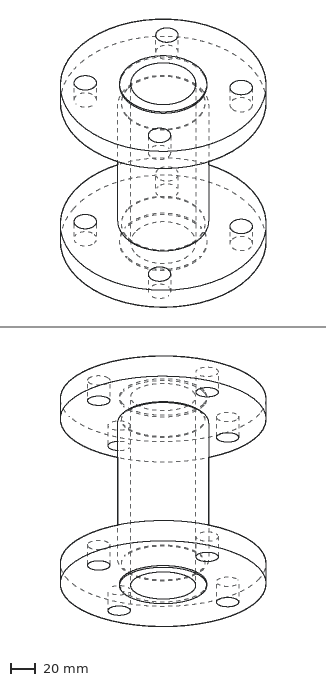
import cadquery as cq

total_length = 166.0
flange_diameter = 165.0
flange_thickness = 18.0
raised_face_diameter = 70.0
raised_face_height = 1.5

body_diameter = 73.0
body_rounding = 3.0
neck_diameter = body_diameter - 2 * body_rounding
neck_length = 0.8
bore_diameter = 52.1

bolt_circle_diameter = 125.0
bolt_hole_diameter = 18.0
bolt_hole_count = 4
first_bolt_angle = 45.0

flange_outer_z = total_length / 2 - raised_face_height
flange_inner_z = flange_outer_z - flange_thickness
body_end_z = flange_inner_z - neck_length


def disc(diameter, bottom, height):
    return cq.Workplane("XY").workplane(offset=bottom).circle(diameter / 2).extrude(height)


def make_flange():
    """Upper flange with its raised sealing face and bolt holes."""
    plate = disc(flange_diameter, flange_inner_z, flange_thickness)
    holes = (
        cq.Workplane("XY")
        .workplane(offset=flange_inner_z)
        .polarArray(bolt_circle_diameter / 2, first_bolt_angle, 360, bolt_hole_count)
        .circle(bolt_hole_diameter / 2)
        .extrude(flange_thickness)
    )
    raised_face = disc(raised_face_diameter, flange_outer_z, raised_face_height)
    return plate.cut(holes).union(raised_face)


def make_body():
    """Cylinder rounded at both ends, with a short neck reaching each flange."""
    body = disc(body_diameter, -body_end_z, 2 * body_end_z).edges().fillet(body_rounding)
    neck = disc(neck_diameter, -flange_inner_z, 2 * flange_inner_z)
    return body.union(neck)


upper_flange = make_flange()
lower_flange = upper_flange.mirror("XY")
bore = disc(bore_diameter, -total_length / 2, total_length)

result = make_body().union(upper_flange).union(lower_flange).cut(bore)